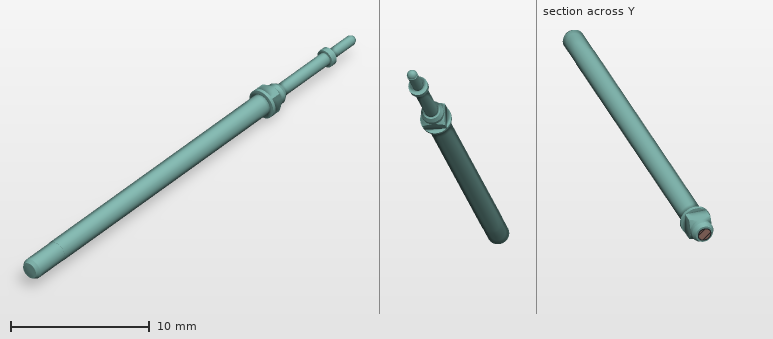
import cadquery as cq

total_length = 35.7

dome_diameter = 0.7
pin_diameter = 0.8
collar_diameter = 1.43
neck_diameter = 1.0
nose_diameter = 1.3
body_diameter = 1.65
flange_diameter = 2.3
rear_diameter = 1.6

pin_start = dome_diameter / 2
collar_start = 2.75
collar_end = 3.2
neck_end = 8.2
shoulder_start = 8.55
shoulder_end = 8.9
flange_start = 9.95
flange_end = 10.2

square_width = body_diameter
square_taper_length = 0.3

rear_length = 2.93
end_chamfer_length = 0.3
end_chamfer_depth = 0.18

tip_y = total_length / 2
rear_y = -total_length / 2


def turned_blank():
    """Solid of revolution about Y, outlined from the rear end to the domed tip."""
    dome_radius = dome_diameter / 2
    pin_radius = pin_diameter / 2
    collar_radius = collar_diameter / 2
    neck_radius = neck_diameter / 2
    body_radius = body_diameter / 2
    flange_radius = flange_diameter / 2
    rear_radius = rear_diameter / 2
    sleeve_y = rear_y + rear_length

    outline = (
        cq.Workplane("XY")
        .moveTo(0, rear_y)
        .lineTo(rear_radius - end_chamfer_depth, rear_y)
        .lineTo(rear_radius, rear_y + end_chamfer_length)
        .lineTo(rear_radius, sleeve_y)
        .lineTo(body_radius, sleeve_y)
        .lineTo(body_radius, tip_y - flange_end)
        .lineTo(flange_radius, tip_y - flange_end)
        .lineTo(flange_radius, tip_y - shoulder_end - square_taper_length)
        .lineTo(body_radius, tip_y - shoulder_end)
        .lineTo(body_radius, tip_y - shoulder_start)
        .lineTo(nose_diameter / 2, tip_y - neck_end)
        .lineTo(neck_radius, tip_y - neck_end)
        .lineTo(neck_radius, tip_y - collar_end)
        .lineTo(collar_radius, tip_y - collar_end)
        .lineTo(collar_radius, tip_y - collar_start)
        .lineTo(pin_radius, tip_y - collar_start)
        .lineTo(pin_radius, tip_y - pin_start)
        .lineTo(dome_radius, tip_y - pin_start)
        .radiusArc((0, tip_y), -dome_radius)
        .close()
    )
    return outline.revolve(360, (0, 0, 0), (0, 1, 0))


def cut_square_flats(blank):
    """Mill four flats that turn the wide section before the flange into a square."""
    length = flange_start - shoulder_end
    depth = flange_diameter / 2
    cutter = cq.Workplane("XY").box(2 * flange_diameter, length, depth)
    middle_y = tip_y - shoulder_end - length / 2
    cutter = cutter.translate((0, middle_y, (square_width + depth) / 2))
    for quarter in range(4):
        blank = blank.cut(cutter.rotate((0, 0, 0), (0, 1, 0), 90 * quarter))
    return blank


result = cut_square_flats(turned_blank())